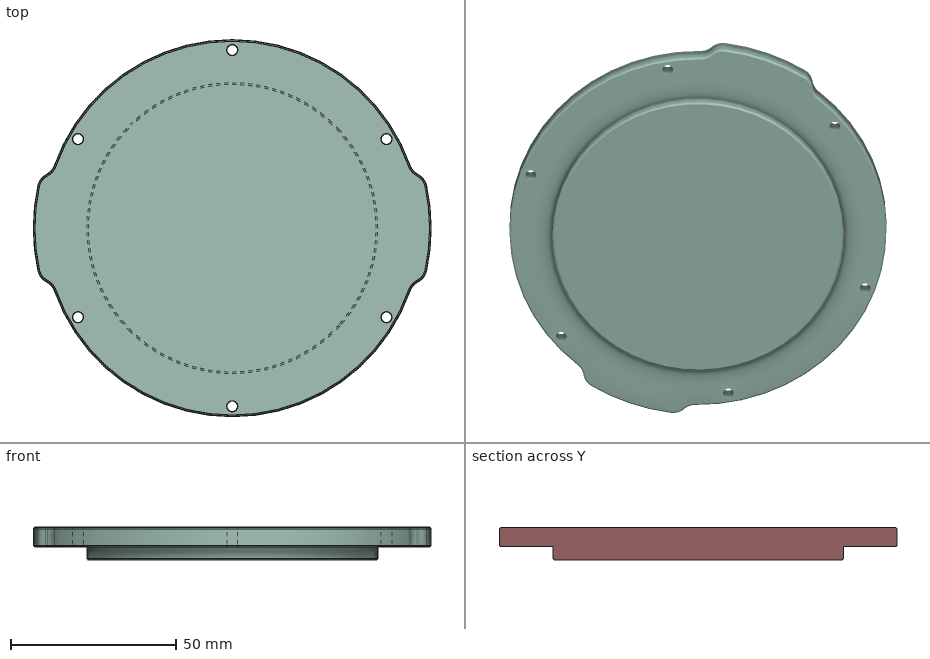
import cadquery as cq
import math

flange_radius = 57.0
tab_radius = 60.15
flange_thickness = 6.0
flange_edge_chamfer = 0.5

flank_mid_x = 56.2
flank_mid_y = 16.2
flank_angle = 32.0
flank_blend_radius = 5.0

spigot_radius = 44.0
spigot_height = 4.0
spigot_edge_chamfer = 0.5

hole_count = 6
hole_circle_radius = 53.85
hole_diameter = 3.2
first_hole_angle = 90.0


def make_tabs():
    """Slice of the larger disc, kept between the inclined flanks of both tabs."""
    flank_slope = math.tan(math.radians(flank_angle))
    half_height_at_tip = flank_mid_y - (tab_radius - flank_mid_x) * flank_slope
    half_height_at_center = flank_mid_y + flank_mid_x * flank_slope
    band = (
        cq.Workplane("XY")
        .moveTo(-tab_radius, -half_height_at_tip)
        .lineTo(0, -half_height_at_center)
        .lineTo(tab_radius, -half_height_at_tip)
        .lineTo(tab_radius, half_height_at_tip)
        .lineTo(0, half_height_at_center)
        .lineTo(-tab_radius, half_height_at_tip)
        .close()
        .extrude(flange_thickness)
    )
    disc = cq.Workplane("XY").circle(tab_radius).extrude(flange_thickness)
    return disc.intersect(band)


def make_flange():
    """Disc and tabs with blended flanks and chamfered top and bottom rims."""
    disc = cq.Workplane("XY").circle(flange_radius).extrude(flange_thickness)
    flange = disc.union(make_tabs())
    flank_corners = cq.selectors.BoxSelector(
        (-tab_radius, -flange_radius / 2, 0),
        (tab_radius, flange_radius / 2, flange_thickness),
    )
    flange = flange.edges("|Z").edges(flank_corners).fillet(flank_blend_radius)
    return flange.faces("<Z or >Z").edges().chamfer(flange_edge_chamfer)


def make_spigot():
    """Round spigot under the flange with a chamfered lower rim."""
    spigot = cq.Workplane("XY").circle(spigot_radius).extrude(-spigot_height)
    return spigot.faces("<Z").edges().chamfer(spigot_edge_chamfer)


def make_holes():
    """Cutters for the ring of through holes in the flange."""
    return (
        cq.Workplane("XY")
        .polarArray(hole_circle_radius, first_hole_angle, 360, hole_count, rotate=False)
        .circle(hole_diameter / 2)
        .extrude(flange_thickness)
    )


result = make_flange().union(make_spigot()).cut(make_holes())